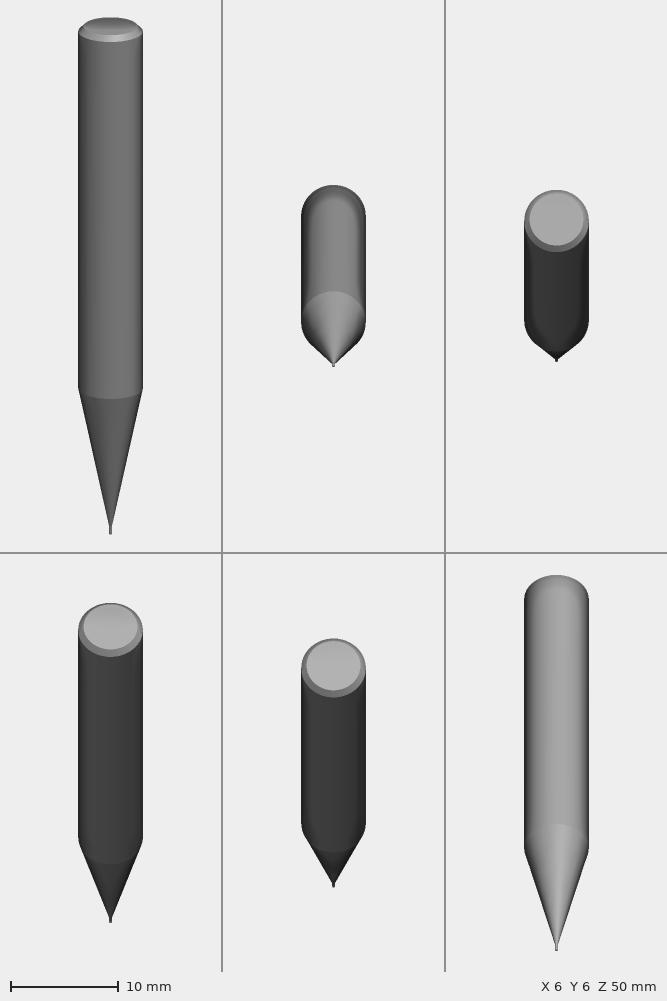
import cadquery as cq

total_length = 50.0
shank_diameter = 6.0
shank_chamfer = 0.5
taper_top = 14.4
taper_end = 1.15
taper_end_diameter = 0.4
neck_top = 0.9
neck_diameter = 0.28
cutter_diameter = 0.3
cutter_length = 0.25

shank_radius = shank_diameter / 2
taper_end_radius = taper_end_diameter / 2
neck_radius = neck_diameter / 2
cutter_radius = cutter_diameter / 2


def revolve_about_z(profile):
    """Revolve a closed XZ profile a full turn about Z."""
    return profile.close().revolve(360, (0, 0), (0, 1))


def make_shank():
    """Chamfered shank with a long cone narrowing to a slightly relieved neck."""
    return revolve_about_z(
        cq.Workplane("XZ").polyline([
            (0, cutter_length),
            (neck_radius, cutter_length),
            (neck_radius, neck_top),
            (taper_end_radius, taper_end),
            (shank_radius, taper_top),
            (shank_radius, total_length - shank_chamfer),
            (shank_radius - shank_chamfer, total_length),
            (0, total_length),
        ])
    )


def make_cutter():
    """Short cylindrical cutter with a hemispherical nose."""
    return revolve_about_z(
        cq.Workplane("XZ")
        .moveTo(0, 0)
        .radiusArc((cutter_radius, cutter_radius), -cutter_radius)
        .lineTo(cutter_radius, cutter_length)
        .lineTo(0, cutter_length)
    )


shank = make_shank()
cutter = make_cutter()

result = cq.Compound.makeCompound([shank.val(), cutter.val()])